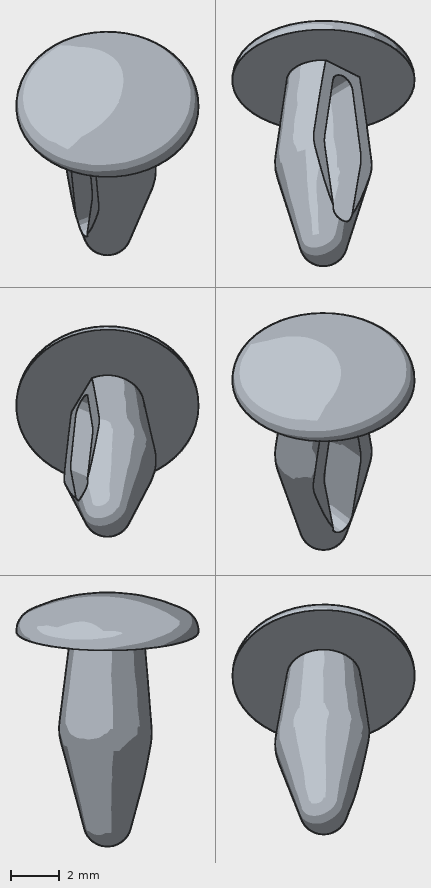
import cadquery as cq
import math

head_radius = 3.75
head_height = 1.49
rim_land = 0.04
dome_radius = 3.31
dome_base_z = 0.72

neck_radius = 1.51
belly_radius = 2.0
belly_top_radius = 1.96
belly_top_z = -3.68
belly_bottom_radius = 1.92
belly_bottom_z = -4.62
tip_radius = 0.97
tip_top_z = -8.25
tip_z = head_height - 10.5
flat_y = -1.19

recess_top_z = -0.37
recess_top_radius = 0.55
recess_upper_z = -0.83
recess_belly_radius = 1.01
recess_belly_edge_radius = 1.0
recess_belly_top_z = -3.78
recess_belly_bottom_z = -4.24
recess_bottom_radius = 0.5
recess_lower_z = -7.1
recess_bottom_z = -7.52


def cap_midpoint(base_radius, base_z, apex_z):
    """Point halfway along the arc from a cap's edge to its apex on the Z axis."""
    rise = apex_z - base_z
    sphere_radius = (base_radius**2 + rise**2) / (2 * rise)
    half_angle = math.atan(rise / base_radius)
    return (
        sphere_radius * math.sin(half_angle),
        apex_z - sphere_radius * (1 - math.cos(half_angle)),
    )


def revolve_about_z(profile):
    return profile.close().revolve(360, (0, 0, 0), (0, 1, 0))


def make_head():
    inset = head_radius - dome_radius
    rise = dome_base_z - rim_land
    rim_round = (inset**2 + rise**2) / (2 * inset)
    half_angle = math.asin(rise / rim_round) / 2
    rim_midpoint = (
        head_radius - rim_round * (1 - math.cos(half_angle)),
        rim_land + rim_round * math.sin(half_angle),
    )
    profile = (
        cq.Workplane("XZ")
        .lineTo(head_radius, 0)
        .lineTo(head_radius, rim_land)
        .threePointArc(rim_midpoint, (dome_radius, dome_base_z))
        .threePointArc(cap_midpoint(dome_radius, dome_base_z, head_height), (0, head_height))
    )
    return revolve_about_z(profile)


def make_shank():
    belly_mid_z = (belly_top_z + belly_bottom_z) / 2
    profile = (
        cq.Workplane("XZ")
        .lineTo(neck_radius, 0)
        .lineTo(belly_top_radius, belly_top_z)
        .threePointArc((belly_radius, belly_mid_z), (belly_bottom_radius, belly_bottom_z))
        .lineTo(tip_radius, tip_top_z)
        .threePointArc(cap_midpoint(tip_radius, tip_top_z, tip_z), (0, tip_z))
    )
    shank = revolve_about_z(profile)
    in_front_of_flat = (
        cq.Workplane("XY")
        .box(2 * belly_radius, belly_radius, -tip_z, centered=(True, False, False))
        .translate((0, flat_y - belly_radius, tip_z))
    )
    return shank.cut(in_front_of_flat)


def recess_half_profile():
    belly_mid_z = (recess_belly_top_z + recess_belly_bottom_z) / 2
    return (
        cq.Workplane("XZ")
        .moveTo(0, recess_top_z)
        .threePointArc(
            cap_midpoint(recess_top_radius, recess_upper_z, recess_top_z),
            (recess_top_radius, recess_upper_z),
        )
        .lineTo(recess_belly_edge_radius, recess_belly_top_z)
        .threePointArc(
            (recess_belly_radius, belly_mid_z),
            (recess_belly_edge_radius, recess_belly_bottom_z),
        )
        .lineTo(recess_bottom_radius, recess_lower_z)
        .threePointArc(
            cap_midpoint(recess_bottom_radius, recess_lower_z, recess_bottom_z),
            (0, recess_bottom_z),
        )
    )


def make_recess():
    back = revolve_about_z(recess_half_profile())
    half_opening = recess_half_profile().close().extrude(belly_radius)
    return back.union(half_opening).union(half_opening.mirror("YZ"))


result = make_head().union(make_shank().cut(make_recess()))